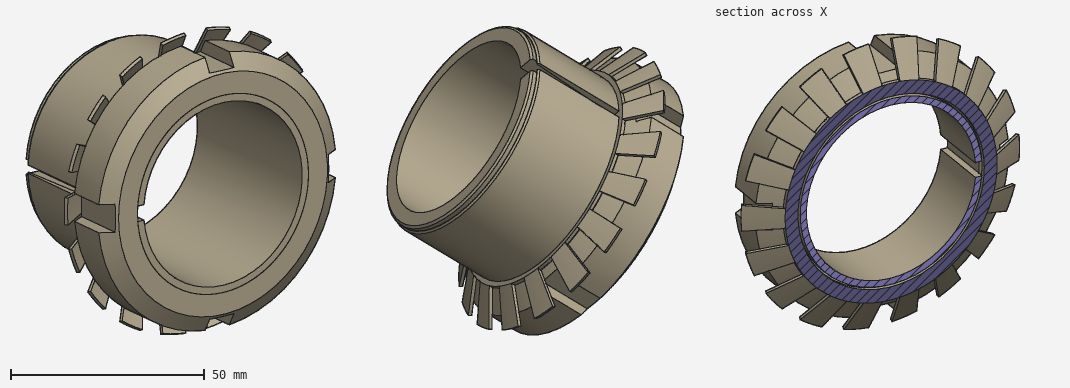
import cadquery as cq
import math


cone_angle = 60.0
cone_rise = math.tan(math.radians(cone_angle))

bush_start = 1.7
washer_start = 28.8
washer_thickness = 1.1
overall_length = 47.0
nut_start = washer_start + washer_thickness

bore_radius = 25.0
sleeve_end_radius = 28.8
sleeve_chamfer_length = 0.5
taper_big_radius = 29.45
taper_small_radius = 27.9
thread_radius = 53.9 / 2
sleeve_slit_width = 4.2

bush_radius = 30.0
bush_chamfer = 0.5
bush_slit_width = 2.2

washer_bore_radius = 55.0 / 2
washer_ring_radius = 31.4
tooth_tip_radius = 41.2
tooth_thickness = washer_thickness * math.sin(math.radians(cone_angle))
tooth_count = 18
tooth_angle = 10.4

nut_radius = 37.5
nut_bore_chamfer = washer_bore_radius - thread_radius
nut_front_chamfer_length = 3.7
nut_back_chamfer_length = 2.6
nut_slot_count = 4
nut_slot_width = 7.7
nut_slot_floor = 33.65


def taper_radius(x):
    """Radius of the taper shared by the sleeve and the bush."""
    fraction = (x - sleeve_chamfer_length) / (washer_start - sleeve_chamfer_length)
    return taper_big_radius + fraction * (taper_small_radius - taper_big_radius)


def revolve_about_x(profile, angle=360):
    """Revolve a closed (x, radius) profile about the X axis, starting on the -Y side."""
    points = [(x, -radius) for x, radius in profile]
    return cq.Workplane("XY").polyline(points).close().revolve(angle, (0, 0, 0), (1, 0, 0))


def slit_cutter(width):
    """Full-length box that opens the -Y side of a ring."""
    cutter = cq.Workplane("XY").box(overall_length, bush_radius, width, centered=(False, False, True))
    return cutter.translate((0, -bush_radius, 0))


def make_sleeve():
    profile = [
        (0, bore_radius),
        (0, sleeve_end_radius),
        (sleeve_chamfer_length, taper_big_radius),
        (washer_start, taper_small_radius),
        (washer_start, thread_radius),
        (overall_length, thread_radius),
        (overall_length, bore_radius),
    ]
    return revolve_about_x(profile).cut(slit_cutter(sleeve_slit_width))


def make_bush():
    profile = [
        (bush_start, taper_radius(bush_start)),
        (bush_start, bush_radius - bush_chamfer),
        (bush_start + bush_chamfer, bush_radius),
        (washer_start, bush_radius),
        (washer_start, taper_small_radius),
    ]
    return revolve_about_x(profile).cut(slit_cutter(bush_slit_width))


def make_washer_tooth():
    """One bent tooth, a slice of a conical ring centred on the -Y direction."""
    tip_x = washer_start + (tooth_tip_radius - washer_ring_radius) / cone_rise
    tip_back_x = tip_x + tooth_thickness * math.sin(math.radians(cone_angle))
    tip_back_radius = tooth_tip_radius - tooth_thickness * math.cos(math.radians(cone_angle))
    profile = [
        (washer_start, washer_ring_radius),
        (tip_x, tooth_tip_radius),
        (tip_back_x, tip_back_radius),
        (nut_start, washer_ring_radius),
    ]
    return revolve_about_x(profile, tooth_angle).rotate((0, 0, 0), (1, 0, 0), -tooth_angle / 2)


def make_washer():
    washer = revolve_about_x(
        [
            (washer_start, washer_bore_radius),
            (washer_start, washer_ring_radius),
            (nut_start, washer_ring_radius),
            (nut_start, washer_bore_radius),
        ]
    )
    tooth = make_washer_tooth()
    for index in range(tooth_count):
        washer = washer.union(tooth.rotate((0, 0, 0), (1, 0, 0), index * 360 / tooth_count))
    return washer


def make_nut():
    nut = revolve_about_x(
        [
            (nut_start, washer_bore_radius),
            (nut_start, nut_radius - nut_front_chamfer_length * cone_rise),
            (nut_start + nut_front_chamfer_length, nut_radius),
            (overall_length - nut_back_chamfer_length, nut_radius),
            (overall_length, nut_radius - nut_back_chamfer_length * cone_rise),
            (overall_length, thread_radius),
            (nut_start + nut_bore_chamfer, thread_radius),
        ]
    )
    slot_depth = nut_radius - nut_slot_floor
    slot_box = cq.Workplane("XY").box(
        overall_length, slot_depth, nut_slot_width, centered=(False, False, True)
    )
    slot = slot_box.translate((0, nut_slot_floor, 0))
    for index in range(nut_slot_count):
        nut = nut.cut(slot.rotate((0, 0, 0), (1, 0, 0), index * 360 / nut_slot_count))
    return nut


sleeve = make_sleeve()
bush = make_bush()
washer = make_washer()
nut = make_nut()

result = cq.Compound.makeCompound([body.solids().val() for body in (sleeve, bush, washer, nut)])